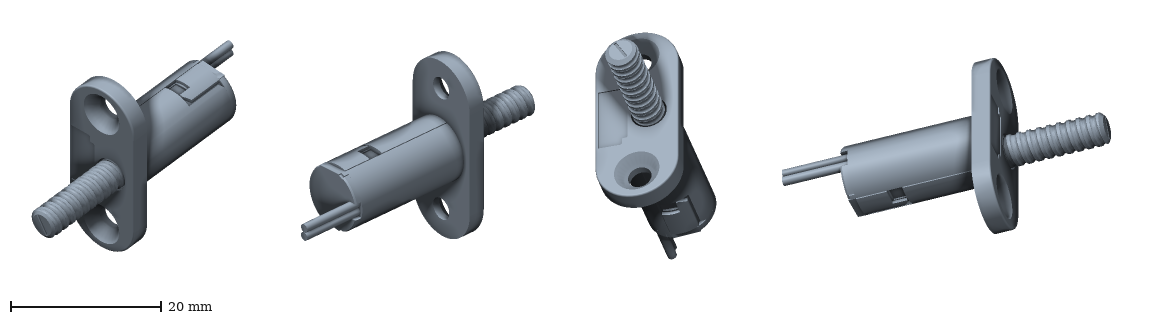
import cadquery as cq
import math


flange_width = 11.5
flange_height = 27.5
flange_thickness = 2.65
flange_edge_round = 0.25
mount_hole_offset = 9.55
mount_hole_diameter = 3.25
countersink_diameter = 6.3
countersink_angle = 90

barrel_x = 0.2
barrel_radius = 4.8
barrel_end = 20.6
split_x = -1.05
split_gap = 0.15

foot_half_height = 6.0
foot_back_half_height = 4.95
foot_step = 1.6
foot_corner_radius = 0.95

recess_left = -5.35
recess_right = -1.27
recess_notch_left = -2.05
recess_half_height = 4.7
recess_notch_half_height = 3.65
recess_corner_radius = 0.2
recess_depth = 0.18

cap_end = 21.7
cap_relief_left = -1.85
cap_relief_radius = 4.5
cap_flat_height_at_split = 4.5
cap_flat_height_at_arm = 4.13
cap_chamfer_length = 0.25
cap_chamfer_depth = 0.15
tongue_width = 0.53
tongue_end = 21.35
arm_right = 2.8
arm_shoulder = 16.3
hook_left = 1.4
hook_tip = 14.25
hook_tip_right = 1.8
hook_slant_start = 15.0

window_right = 3.2
window_end = 14.05
window_corner = 20.0
window_slant_right = 3.8
window_floor_radius = 4.3
pocket_right = 1.25
pocket_left = -0.9
pocket_top = 16.03
pocket_floor_height = 3.95

wire_diameter = 1.27
wire_x = -3.5
wire_end = 30.0

screw_x = 1.65
screw_radius = 2.25
screw_reach = 13.9
screw_hole_diameter = 4.95
thread_pitch = 1.4
thread_depth = 0.24
groove_radius = 0.55
groove_steps = 8
tip_face_radius = 1.62
tip_chamfer_length = 0.45
slot_width = 0.4
slot_length = 3.07
slot_depth = 0.2
slot_angle = -59

beyond = 2 * flange_height


def box(x0, x1, y0, y1, z0, z1):
    return cq.Workplane("XY").box(x1 - x0, y1 - y0, z1 - z0, centered=False).translate((x0, y0, z0))


def rod(x, z, radius, y0, y1):
    """Cylinder parallel to Y."""
    return cq.Workplane("XZ", origin=(x, y0, z)).circle(radius).extrude(y0 - y1)


def both_sides(shape):
    """The shape together with its mirror image below Z = 0."""
    return shape.union(shape.mirror("XY"))


def barrel(radius, y0, y1):
    return rod(barrel_x, 0, radius, y0, y1)


def make_flange_plate():
    plate = cq.Workplane("XZ").slot2D(flange_height, flange_width, 90).extrude(-flange_thickness)
    return plate.faces("<Y").edges().fillet(flange_edge_round)


def foot_block(half_height, y0, y1):
    block = box(-beyond, split_x, y0, y1, -half_height, half_height)
    return block.edges("|Y and >X").fillet(foot_corner_radius)


def make_foot_space():
    front = foot_block(foot_half_height, 0, foot_step)
    back = foot_block(foot_back_half_height, foot_step, flange_thickness)
    return front.union(back)


def make_recess():
    outline = [
        (recess_left, recess_half_height),
        (recess_notch_left, recess_half_height),
        (recess_notch_left, recess_notch_half_height),
        (recess_right, recess_notch_half_height),
        (recess_right, -recess_notch_half_height),
        (recess_notch_left, -recess_notch_half_height),
        (recess_notch_left, -recess_half_height),
        (recess_left, -recess_half_height),
    ]
    recess = cq.Workplane("XZ").polyline(outline).close().extrude(-recess_depth)
    return recess.edges("|Y and (not <X)").fillet(recess_corner_radius)


def make_tongue():
    """Strip at the end of the cover, along the split, that laps into the end cap."""
    ring = barrel(barrel_radius, barrel_end, tongue_end)
    ring = ring.cut(barrel(cap_relief_radius, barrel_end, tongue_end))
    left = split_x - split_gap - tongue_width
    strip = box(left, split_x - split_gap, barrel_end, tongue_end, -beyond, beyond)
    return ring.intersect(strip)


def make_cover():
    cover_half = box(-beyond, split_x - split_gap, flange_thickness, barrel_end, -beyond, beyond)
    shell = barrel(barrel_radius, flange_thickness, barrel_end).intersect(cover_half)
    foot = make_flange_plate().intersect(make_foot_space())
    return shell.union(foot).union(make_tongue()).cut(make_recess())


def make_clip_window():
    """Opening above the barrel core for one clip arm, with a pocket beside the hook."""
    outline = [
        (split_x, window_end),
        (window_right, window_end),
        (window_right, window_corner),
        (window_slant_right, barrel_end),
        (split_x, barrel_end),
    ]
    opening = cq.Workplane("XY").polyline(outline).close().extrude(barrel_radius)
    opening = opening.cut(barrel(window_floor_radius, 0, barrel_end))
    pocket = box(pocket_left, pocket_right, window_end, pocket_top, pocket_floor_height, barrel_radius)
    return opening.union(pocket)


def make_housing():
    housing_half = box(split_x, beyond, flange_thickness, barrel_end, -beyond, beyond)
    core = barrel(barrel_radius, flange_thickness, barrel_end).intersect(housing_half)
    housing = make_flange_plate().cut(make_foot_space()).union(core)
    housing = housing.cut(both_sides(make_clip_window()))
    housing = housing.cut(rod(screw_x, 0, screw_hole_diameter / 2, 0, flange_thickness))
    return (
        housing.faces("<Y")
        .workplane(origin=(0, 0, 0))
        .pushPoints([(0, mount_hole_offset), (0, -mount_hole_offset)])
        .cskHole(mount_hole_diameter, countersink_diameter, countersink_angle)
    )


def make_clip_arm():
    outline = [
        (split_x, barrel_end),
        (split_x, arm_shoulder),
        (hook_left, arm_shoulder),
        (hook_left, hook_tip),
        (hook_tip_right, hook_tip),
        (arm_right, hook_slant_start),
        (arm_right, barrel_end),
    ]
    arm = cq.Workplane("XY").polyline(outline).close().extrude(barrel_radius)
    arm = arm.intersect(barrel(barrel_radius, 0, barrel_end))
    return arm.cut(barrel(window_floor_radius, 0, barrel_end))


def make_cap_middle():
    """Middle of the disc, between slightly sloping flats above and below."""
    outline = [
        (split_x, cap_flat_height_at_split),
        (arm_right, cap_flat_height_at_arm),
        (arm_right, -cap_flat_height_at_arm),
        (split_x, -cap_flat_height_at_split),
    ]
    return cq.Workplane("XZ", origin=(0, barrel_end, 0)).polyline(outline).close().extrude(barrel_end - cap_end)


def make_cap():
    disc = barrel(barrel_radius, barrel_end, cap_end)
    disc = disc.faces(">Y").chamfer(cap_chamfer_length, cap_chamfer_depth)
    disc = disc.cut(box(cap_relief_left, arm_right, barrel_end, cap_end, -beyond, beyond))
    relief_core = barrel(cap_relief_radius, barrel_end, cap_end)
    relief_core = relief_core.intersect(box(cap_relief_left, split_x, barrel_end, cap_end, -beyond, beyond))
    wire_slot = box(-beyond, wire_x, barrel_end, cap_end, -wire_diameter, wire_diameter)
    cap = disc.union(relief_core).union(make_cap_middle()).union(both_sides(make_clip_arm()))
    cap = cap.cut(wire_slot)
    for side in (1, -1):
        cap = cap.cut(make_wire(side))
    return cap


def make_wire(side):
    return rod(wire_x, side * wire_diameter / 2, wire_diameter / 2, barrel_end, wire_end)


def groove_point(turn):
    """Point of the thread's cross-section on the groove wall, a given angle away from the groove's bottom."""
    along_axis = thread_pitch * turn / (2 * math.pi)
    radius = screw_radius - thread_depth + groove_radius - math.sqrt(groove_radius**2 - along_axis**2)
    return (-radius * math.cos(turn), -radius * math.sin(turn))


def make_thread():
    """Right-hand thread with a round groove: its cross-section twisted once per pitch along +Z."""
    groove_half_width = math.sqrt(groove_radius**2 - (groove_radius - thread_depth) ** 2)
    half_turn = 2 * math.pi * groove_half_width / thread_pitch
    groove = [groove_point(half_turn * (2 * step / groove_steps - 1)) for step in range(groove_steps + 1)]
    section = (
        cq.Workplane("XY")
        .moveTo(*groove[-1])
        .threePointArc((screw_radius, 0), groove[0])
        .spline(groove[1:], includeCurrent=True)
        .close()
    )
    return section.twistExtrude(screw_reach, 360 * screw_reach / thread_pitch)


def make_screw():
    """Screw built along +Z with the flange front at Z = 0, then turned to point to -Y."""
    tip_slope = (screw_radius - tip_face_radius) / tip_chamfer_length
    tip_cone = cq.Solid.makeCone(tip_face_radius + tip_slope * screw_reach, tip_face_radius, screw_reach)
    shank = cq.Workplane("XY").circle(screw_radius).extrude(-flange_thickness)
    slot = (
        cq.Workplane("XY", origin=(0, 0, screw_reach))
        .transformed(rotate=(0, 0, slot_angle))
        .rect(slot_length, slot_width)
        .extrude(-slot_depth)
    )
    screw = make_thread().intersect(cq.Workplane(tip_cone)).union(shank).cut(slot)
    return screw.rotate((0, 0, 0), (1, 0, 0), 90).translate((screw_x, 0, 0))


housing = make_housing()
cover = make_cover()
cap = make_cap()
wires = [make_wire(side) for side in (1, -1)]
screw = make_screw()

result = cq.Compound.makeCompound(
    [body.solids().val() for body in (housing, cover, cap, *wires, screw)]
)